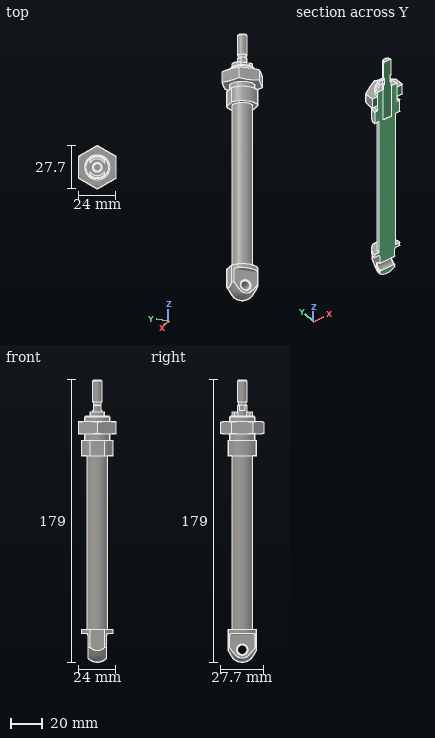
import cadquery as cq
import math

total_length = 179.0
collar_diameter = 20.0
collar_flats = 17.9
thread_diameter = 16.0
tube_diameter = 13.2

flange_bottom = 18.3
flange_top = 21.0
collar_bottom = 131.0
collar_top = 140.9
nut_bottom = 144.8
nut_height = 8.0
thread_chamfer_bottom = 155.5
slot_floor = 156.5
body_top = 159.0

eye_thickness = 12.0
eye_root_radius = 1.0
eye_radius = 8.0
eye_hole_diameter = 6.0
eye_hole_chamfer = 0.5
eye_cone_angle = math.radians(30)

thread_tip_diameter = 14.3
lug_outer_diameter = 13.2
lug_inner_diameter = 10.7
lug_width = 9.1

rod_diameter = 6.0
rod_chamfer = 0.63
neck_diameter = 4.8
neck_bottom = 163.5
neck_top = 165.2
rod_flats = 4.8
rod_flats_bottom = 159.8

nut_across_flats = 24.0
nut_chamfer_height = 0.5
nut_face_diameter = 23.6


def cylinder(diameter, bottom, top):
    return cq.Workplane("XY").workplane(offset=bottom).circle(diameter / 2).extrude(top - bottom)


def block(size_x, size_y, bottom, top):
    return cq.Workplane("XY").workplane(offset=bottom).rect(size_x, size_y).extrude(top - bottom)


def flatted_cylinder(bottom, top):
    """Collar with two wrench flats facing -Y and +Y."""
    return cylinder(collar_diameter, bottom, top).intersect(
        block(collar_diameter, collar_flats, bottom, top)
    )


def make_rear_cap():
    cap_radius = collar_diameter / 2
    tangent_radius = eye_radius * math.cos(eye_cone_angle)
    tangent_height = eye_radius * (1 - math.sin(eye_cone_angle))
    cone_top = tangent_height + (cap_radius - tangent_radius) / math.tan(eye_cone_angle)
    mid_angle = (math.pi / 2 + eye_cone_angle) / 2
    arc_middle = (eye_radius * math.cos(mid_angle), eye_radius * (1 - math.sin(mid_angle)))
    envelope = (
        cq.Workplane("XZ")
        .moveTo(0, 0)
        .threePointArc(arc_middle, (tangent_radius, tangent_height))
        .lineTo(cap_radius, cone_top)
        .lineTo(cap_radius, flange_top)
        .lineTo(0, flange_top)
        .close()
        .revolve(360, (0, 0, 0), (0, 1, 0))
    )
    tongue = block(eye_thickness, collar_flats, 0, flange_bottom)
    flange = block(collar_diameter, collar_flats, flange_bottom, flange_top)
    blank = tongue.union(flange)
    for side in (-1, 1):
        root = cq.selectors.NearestToPointSelector((side * eye_thickness / 2, 0, flange_bottom))
        blank = blank.edges(root).fillet(eye_root_radius)
    cap = envelope.intersect(blank)

    hole = (
        cq.Workplane("YZ")
        .workplane(offset=-eye_thickness / 2)
        .center(0, eye_radius)
        .circle(eye_hole_diameter / 2)
        .extrude(eye_thickness)
    )
    cap = cap.cut(hole)
    for side in (-1, 1):
        mouth = cq.Solid.makeCone(
            eye_hole_diameter / 2 + eye_hole_chamfer,
            eye_hole_diameter / 2,
            eye_hole_chamfer,
            cq.Vector(side * eye_thickness / 2, 0, eye_radius),
            cq.Vector(-side, 0, 0),
        )
        cap = cap.cut(cq.Workplane(mouth))
    return cap


def make_lugs():
    """Two lugs on the thread end, left by a ring cut down to the lug width."""
    ring = cylinder(lug_outer_diameter, slot_floor, body_top).cut(
        cylinder(lug_inner_diameter, slot_floor, body_top)
    )
    return ring.intersect(block(lug_width, lug_outer_diameter, slot_floor, body_top))


def make_thread_end():
    thread = cylinder(thread_diameter, collar_top, thread_chamfer_bottom)
    tip = cq.Solid.makeCone(
        thread_diameter / 2,
        thread_tip_diameter / 2,
        slot_floor - thread_chamfer_bottom,
        cq.Vector(0, 0, thread_chamfer_bottom),
    )
    return thread.union(cq.Workplane(tip))


def make_body():
    tube = cylinder(tube_diameter, flange_top, collar_bottom)
    body = make_rear_cap().union(tube).union(flatted_cylinder(collar_bottom, collar_top))
    body = body.union(make_thread_end()).union(make_lugs())
    rod_bore = cylinder(rod_diameter, collar_bottom, body_top)
    return body.cut(rod_bore)


def make_rod():
    rod = cylinder(rod_diameter, collar_bottom, total_length).faces(">Z").chamfer(rod_chamfer)
    shoulder_height = (rod_diameter - neck_diameter) / 2
    neck_groove = (
        cq.Workplane("XZ")
        .moveTo(neck_diameter / 2, neck_top)
        .lineTo(rod_diameter / 2, neck_top)
        .lineTo(rod_diameter / 2, neck_bottom - shoulder_height)
        .lineTo(neck_diameter / 2, neck_bottom)
        .close()
        .revolve(360, (0, 0, 0), (0, 1, 0))
    )
    flats_cut = block(rod_diameter, rod_diameter, rod_flats_bottom, neck_bottom).cut(
        block(rod_flats, rod_diameter, rod_flats_bottom, neck_bottom)
    )
    return rod.cut(neck_groove).cut(flats_cut)


def make_nut():
    corner_radius = nut_across_flats / math.sqrt(3)
    half_height = nut_height / 2
    hexagon = (
        cq.Workplane("XY")
        .polygon(6, 2 * corner_radius)
        .extrude(half_height, both=True)
        .rotate((0, 0, 0), (0, 0, 1), 30)
    )
    envelope = (
        cq.Workplane("XZ")
        .moveTo(0, -half_height)
        .lineTo(nut_face_diameter / 2, -half_height)
        .lineTo(corner_radius, nut_chamfer_height - half_height)
        .lineTo(corner_radius, half_height - nut_chamfer_height)
        .lineTo(nut_face_diameter / 2, half_height)
        .lineTo(0, half_height)
        .close()
        .revolve(360, (0, 0, 0), (0, 1, 0))
    )
    nut = hexagon.intersect(envelope).translate((0, 0, nut_bottom + half_height))
    return nut.cut(cylinder(thread_diameter, nut_bottom, nut_bottom + nut_height))


body = make_body()
rod = make_rod()
nut = make_nut()

result = cq.Compound.makeCompound([body.val(), rod.val(), nut.val()])